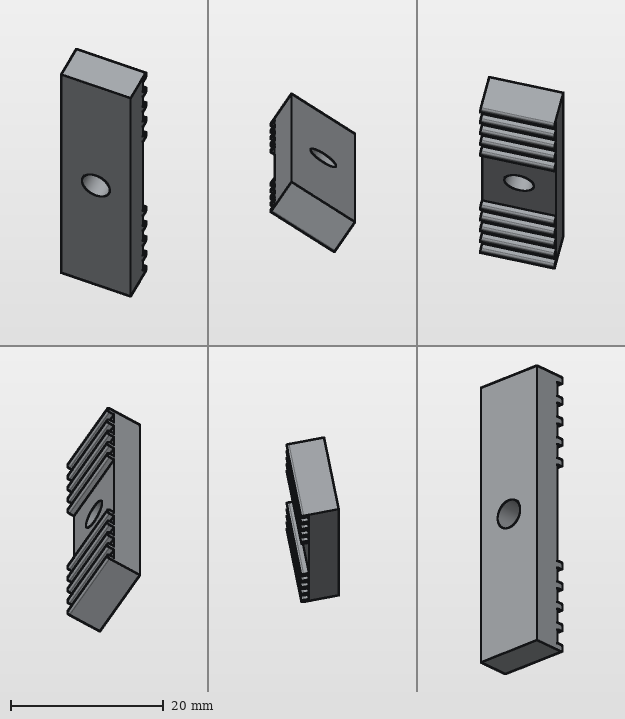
import cadquery as cq

width = 10.0
depth = 5.0
height = 40.0

tooth_size = 1.0
tooth_pitch = 3 * tooth_size
teeth_per_group = 5
tip_radius = 0.3

hole_diameter = 4.0

body_depth = depth - tooth_size


def make_tooth(center_z):
    """Rib across the full width, rooted in the body, with rounded tip edges."""
    return (
        cq.Workplane("XY")
        .box(width, 2 * tooth_size, tooth_size)
        .edges("|X and >Y")
        .fillet(tip_radius)
        .translate((0, body_depth, center_z))
    )


result = cq.Workplane("XY").box(width, body_depth, height).translate((0, body_depth / 2, 0))

end_tooth_z = (height - tooth_size) / 2
for index in range(teeth_per_group):
    tooth_z = end_tooth_z - index * tooth_pitch
    for end in (1, -1):
        result = result.union(make_tooth(end * tooth_z))

hole = cq.Workplane("XZ").circle(hole_diameter / 2).extrude(-depth)
result = result.cut(hole)